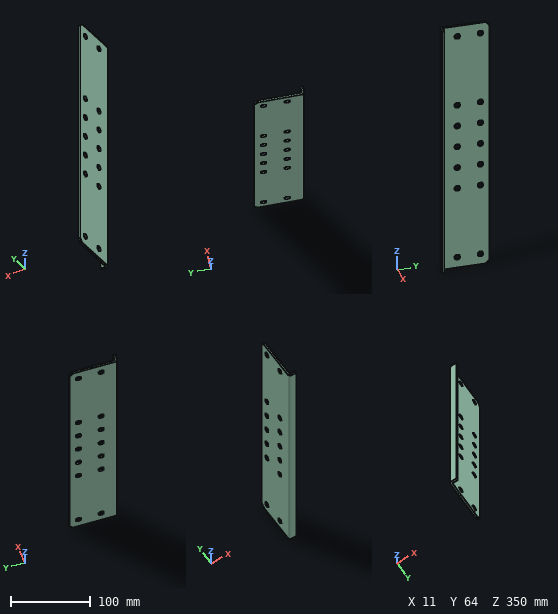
import cadquery as cq

length = 350.0
web_width = 64.0
flange_width = 11.0
thickness = 3.0

inner_radius = 0.5
outer_radius = inner_radius + thickness

corner_cut = 5.0

hole_diameter = 7.0
hole_pitch = 30.0
first_column_offset = 12.0
end_row_offset = 15.0
column_count = 2
center_row_count = 5

free_edge_y = web_width / 2
bend_edge_y = -web_width / 2
outer_face_x = -flange_width / 2


def bent_plate():
    """L-shaped plate, bent along Z, centered on the origin."""
    plate = (
        cq.Workplane("XY")
        .moveTo(outer_face_x, free_edge_y)
        .lineTo(outer_face_x, bend_edge_y)
        .lineTo(outer_face_x + flange_width, bend_edge_y)
        .lineTo(outer_face_x + flange_width, bend_edge_y + thickness)
        .lineTo(outer_face_x + thickness, bend_edge_y + thickness)
        .lineTo(outer_face_x + thickness, free_edge_y)
        .close()
        .extrude(length / 2, both=True)
    )
    inner_corner = (outer_face_x + thickness, bend_edge_y + thickness, 0)
    outer_corner = (outer_face_x, bend_edge_y, 0)
    plate = plate.edges(cq.NearestToPointSelector(inner_corner)).fillet(inner_radius)
    return plate.edges(cq.NearestToPointSelector(outer_corner)).fillet(outer_radius)


def hole_centers():
    """(Y, Z) positions of all holes in the web."""
    end_row_z = length / 2 - end_row_offset
    rows = [(i - (center_row_count - 1) / 2) * hole_pitch for i in range(center_row_count)]
    rows += [-end_row_z, end_row_z]
    columns = [free_edge_y - first_column_offset - i * hole_pitch for i in range(column_count)]
    return [(y, z) for y in columns for z in rows]


plate = bent_plate()
plate = plate.edges("|X and >Y").chamfer(corner_cut)

holes = (
    cq.Workplane("YZ", origin=(outer_face_x, 0, 0))
    .pushPoints(hole_centers())
    .circle(hole_diameter / 2)
    .extrude(thickness)
)
result = plate.cut(holes)